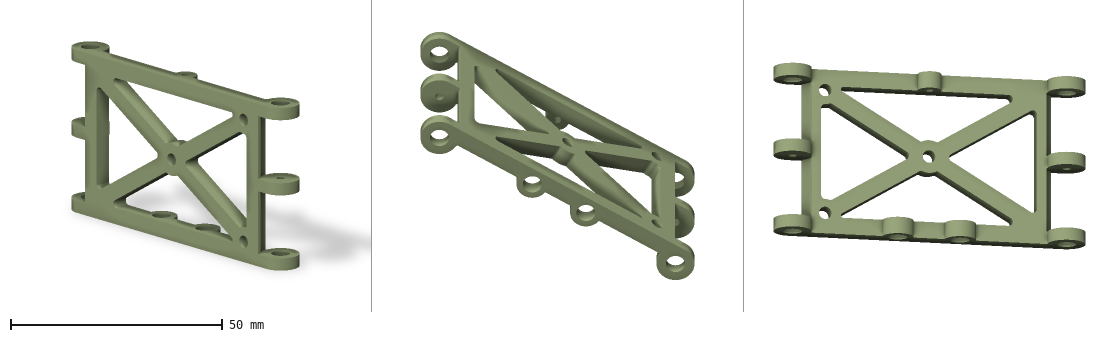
import cadquery as cq
import math

plate_width = 60.0
plate_height = 40.0
plate_thickness = 4.0

knuckle_radius = 4.5
knuckle_x = 33.0
knuckle_thickness = 3.0
knuckle_blend = 0.5
outer_knuckle_bore = 4.5
middle_knuckle_bore = 2.0
knuckle_clearance_radius = 4.75

rail_height = 4.0
post_width = 4.0
brace_width = 4.0
brace_slope = 0.6
pocket_fillet = 1.0
small_pocket_fillet = 0.6

screw_hole_diameter = 3.0
centre_pad_radius = 4.0
corner_pad_radius = 3.4
corner_hole_x = 25.0
corner_hole_z = corner_hole_x * brace_slope

upper_eye_radius = 2.8
upper_eye_bore = 1.8
lower_eye_radius = 3.75
lower_eye_bore = 4.5
lower_eye_x = 7.5
lower_eye_y = -0.75

front_y = -knuckle_radius
back_y = front_y + plate_thickness
half_height = plate_height / 2
half_width = plate_width / 2
middle_knuckle_z = -knuckle_thickness / 2
top_knuckle_z = half_height - knuckle_thickness
upper_rail_z = half_height - rail_height
knuckle_levels = (-half_height, middle_knuckle_z, top_knuckle_z)


def z_cylinder(x, y, z_bottom, radius, height):
    return cq.Workplane("XY", origin=(x, y, z_bottom)).circle(radius).extrude(height)


def y_cylinder(x, z, radius):
    """Cylinder along Y that spans the plate thickness."""
    return cq.Workplane("XZ", origin=(x, back_y, z)).circle(radius).extrude(plate_thickness)


def y_prism(points):
    """Polygon in XZ that spans the plate thickness."""
    return cq.Workplane("XZ", origin=(0, back_y, 0)).polyline(points).close().extrude(plate_thickness)


def make_plate():
    """Plate whose ends are hollowed to clear the mating knuckles."""
    plate = cq.Workplane("XY").box(plate_width, plate_thickness, plate_height)
    plate = plate.translate((0, (front_y + back_y) / 2, 0))
    for side in (-1, 1):
        plate = plate.cut(
            z_cylinder(side * knuckle_x, 0, -half_height, knuckle_clearance_radius, plate_height)
        )
    return plate


def make_knuckle(z_bottom):
    """Right-hand knuckle with its arm to the plate and a concave blend at the back."""
    blend_x = knuckle_x - math.sqrt((knuckle_radius + knuckle_blend) ** 2 - (back_y + knuckle_blend) ** 2)
    arm_width = knuckle_x - blend_x
    arm = cq.Workplane("XY", origin=(blend_x, front_y, z_bottom)).rect(
        arm_width, plate_thickness + knuckle_blend, centered=False
    ).extrude(knuckle_thickness)
    arm = arm.cut(z_cylinder(blend_x, back_y + knuckle_blend, z_bottom, knuckle_blend, knuckle_thickness))
    return arm.union(z_cylinder(knuckle_x, 0, z_bottom, knuckle_radius, knuckle_thickness))


def add_knuckles(body):
    for z_bottom in knuckle_levels:
        bore = middle_knuckle_bore if z_bottom == middle_knuckle_z else outer_knuckle_bore
        right_knuckle = make_knuckle(z_bottom)
        body = body.union(right_knuckle).union(right_knuckle.mirror("YZ"))
        for side in (-1, 1):
            body = body.cut(z_cylinder(side * knuckle_x, 0, z_bottom, bore / 2, knuckle_thickness))
    return body


def add_eyes(body):
    """One straight-sided eye on the upper rail and two round eyes on the lower rail."""
    stem = cq.Workplane("XY", origin=(0, back_y / 2, upper_rail_z)).rect(
        2 * upper_eye_radius, -back_y
    ).extrude(rail_height)
    body = body.union(stem).union(z_cylinder(0, 0, upper_rail_z, upper_eye_radius, rail_height))
    body = body.cut(z_cylinder(0, 0, upper_rail_z, upper_eye_bore / 2, rail_height))
    for side in (-1, 1):
        eye_x = side * lower_eye_x
        body = body.union(z_cylinder(eye_x, lower_eye_y, -half_height, lower_eye_radius, rail_height))
        body = body.cut(z_cylinder(eye_x, lower_eye_y, -half_height, lower_eye_bore / 2, rail_height))
    return body


brace_rise = brace_width / 2 * math.hypot(1, brace_slope)
pocket_end_x = half_width - post_width
pocket_tip_x = brace_rise / brace_slope


def make_side_triangle(side):
    pocket_end_z = brace_slope * pocket_end_x - brace_rise
    end_x = side * pocket_end_x
    return y_prism([(side * pocket_tip_x, 0), (end_x, pocket_end_z), (end_x, -pocket_end_z)])


def make_left_pocket():
    return make_side_triangle(-1).edges("|Y").fillet(pocket_fillet)


def make_right_pocket():
    """Side pocket whose outer corners curve around the corner pads."""
    pocket = make_side_triangle(1)
    for z in (-corner_hole_z, corner_hole_z):
        pocket = pocket.cut(y_cylinder(corner_hole_x, z, corner_pad_radius))
    pocket = pocket.edges("|Y and >X").fillet(pocket_fillet)
    pocket = pocket.edges("|Y and <X").fillet(pocket_fillet)
    return pocket.edges("|Y and (>Z or <Z)").fillet(pocket_fillet)


def make_upper_pocket():
    """Pocket above the braces, curved around the centre pad."""
    corner_x = (upper_rail_z - brace_rise) / brace_slope
    pocket = y_prism([(-corner_x, upper_rail_z), (0, brace_rise), (corner_x, upper_rail_z)])
    pocket = pocket.cut(y_cylinder(0, 0, centre_pad_radius))
    pocket = pocket.edges("|Y and <X").fillet(pocket_fillet)
    pocket = pocket.edges("|Y and >X").fillet(small_pocket_fillet)
    return pocket.edges("|Y and <Z").fillet(small_pocket_fillet)


def cut_pockets(body):
    upper_pocket = make_upper_pocket()
    for pocket in (make_left_pocket(), make_right_pocket(), upper_pocket, upper_pocket.mirror("XY")):
        body = body.cut(pocket)
    return body


def cut_screw_holes(body):
    for x, z in ((0, 0), (corner_hole_x, corner_hole_z), (corner_hole_x, -corner_hole_z)):
        body = body.cut(y_cylinder(x, z, screw_hole_diameter / 2))
    return body


result = cut_screw_holes(cut_pockets(add_eyes(add_knuckles(make_plate()))))